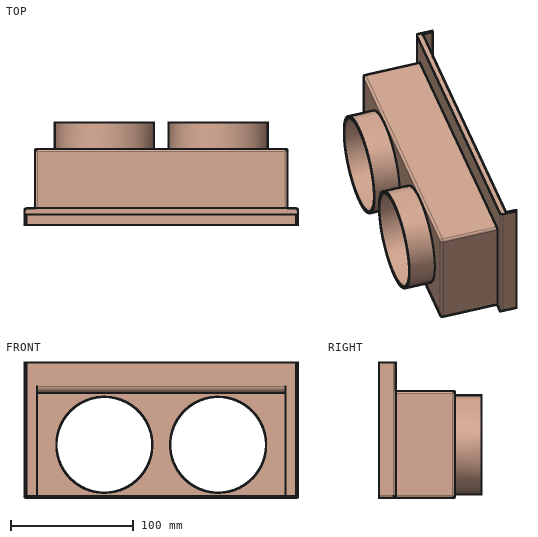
import cadquery as cq

wall = 1.5
edge_radius = 2.0

flange_width = 223.0
flange_height = 110.5
flange_depth = 13.8
recess_depth = 8.7

box_width = 206.0
box_height = 87.5
box_depth = 48.5

tube_length = 21.6
tube_diameter = 81.2
bore_diameter = 78.0
tube_spacing = 92.8
tube_height = 43.5

box_back = flange_depth + box_depth
tube_end = box_back + tube_length
plate_thickness = flange_depth - recess_depth
opening_width = box_width - 2 * wall
ceiling = box_height - wall


def block(width, y_start, y_end, z_start, z_end):
    """Rectangular block centred on X."""
    return (
        cq.Workplane("XY")
        .box(width, y_end - y_start, z_end - z_start, centered=(True, False, False))
        .translate((0, y_start, z_start))
    )


def cylinders(diameter, y_start, y_end):
    """Pair of side-by-side cylinders running along Y."""
    return (
        cq.Workplane("XZ", origin=(0, y_start, 0))
        .pushPoints([(-tube_spacing / 2, tube_height), (tube_spacing / 2, tube_height)])
        .circle(diameter / 2)
        .extrude(-(y_end - y_start))
    )


def make_flange():
    """Flange with rounded rear side edges and rounded lower corners."""
    flange = block(flange_width, 0, flange_depth, 0, flange_height)
    return flange.edges("(|Z and >Y) or (|Y and <Z)").fillet(edge_radius)


def make_box():
    """Rear housing, rounded along its length and around its back face."""
    housing = block(box_width, recess_depth, box_back, 0, box_height)
    return housing.edges("|Y or >Y").fillet(edge_radius)


def make_recess():
    """Front recess of the flange, open at the top."""
    return block(flange_width - 2 * wall, 0, recess_depth, wall, flange_height)


def make_cavity():
    """Inside of the housing, ending at the back wall."""
    return block(opening_width, recess_depth, box_back - wall, wall, ceiling)


def make_opening_lip():
    """Material removed to round the upper edge of the flange opening."""
    return (
        cq.Workplane("YZ", origin=(-opening_width / 2, 0, 0))
        .moveTo(recess_depth, ceiling)
        .lineTo(recess_depth, ceiling + plate_thickness)
        .radiusArc((flange_depth, ceiling), -plate_thickness)
        .close()
        .extrude(opening_width)
    )


body = make_flange().union(make_box())
body = body.union(cylinders(tube_diameter, box_back - wall, tube_end))
body = body.cut(make_recess()).cut(make_cavity()).cut(make_opening_lip())
result = body.cut(cylinders(bore_diameter, box_back - 2 * wall, tube_end))